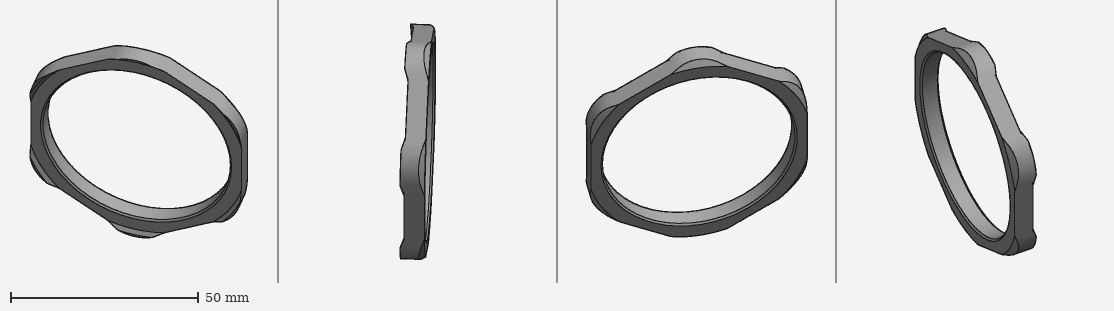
import cadquery as cq
import math

across_flats = 59.0
across_corners = 64.4
thickness = 6.5
bore_diameter = 52.5
bore_chamfer = 0.5
back_bevel = 1.6
recess_depth = 1.0
pad_width = 0.65

corner_radius = across_corners / 2
sharp_corner_radius = across_flats / 2 / math.cos(math.pi / 6)
rounding = (sharp_corner_radius - corner_radius) / (1 / math.cos(math.pi / 6) - 1)

front_y = -thickness / 2
back_y = thickness / 2
floor_y = front_y + recess_depth


def revolve_profile(points):
    """Revolve a closed (radius, y) profile about the Y axis."""
    return cq.Workplane("XY").polyline(points).close().revolve(360, (0, 0), (0, 1))


def hexagon_body():
    """Hexagonal plate with corners pointing along +Z and -Z, rounded."""
    corners = [
        (
            sharp_corner_radius * math.sin(i * math.pi / 3),
            sharp_corner_radius * math.cos(i * math.pi / 3),
        )
        for i in range(6)
    ]
    plate = cq.Workplane("XZ", origin=(0, back_y, 0)).polyline(corners).close().extrude(thickness)
    return plate.edges("|Y").fillet(rounding)


def bevel_envelope():
    """Disc bevelled at the back; outside the bevel it clears the rounded corners."""
    clearance_radius = sharp_corner_radius
    bevel_end_y = back_y - back_bevel
    extra = clearance_radius - corner_radius
    return revolve_profile([
        (0, front_y),
        (clearance_radius, front_y),
        (clearance_radius, bevel_end_y - extra),
        (corner_radius - back_bevel, back_y),
        (0, back_y),
    ])


def front_recess():
    """Shallow dish with a 45 degree wall that leaves a pad on each corner."""
    rim_radius = corner_radius - pad_width
    return revolve_profile([
        (0, front_y),
        (rim_radius, front_y),
        (rim_radius - recess_depth, floor_y),
        (0, floor_y),
    ])


def chamfered_bore():
    """Through bore with a chamfer at the recessed front face and at the back face."""
    bore_radius = bore_diameter / 2
    mouth_radius = bore_radius + bore_chamfer
    return revolve_profile([
        (0, front_y),
        (mouth_radius, front_y),
        (mouth_radius, floor_y),
        (bore_radius, floor_y + bore_chamfer),
        (bore_radius, back_y - bore_chamfer),
        (mouth_radius, back_y),
        (0, back_y),
    ])


result = hexagon_body().intersect(bevel_envelope()).cut(front_recess()).cut(chamfered_bore())